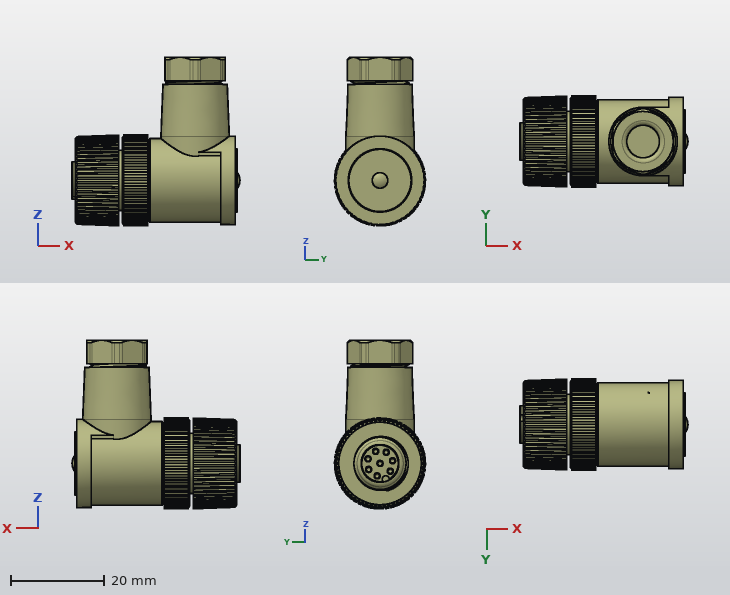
import cadquery as cq
import math


neck_diameter = 13.0
insert_diameter = 8.1
insert_edge_chamfer = 0.15
body_diameter = 18.0
body_start_x = 16.8
flange_diameter = 19.0
flange_start_x = 31.85
flange_end_x = 35.05
cap_radius = 6.8
cap_end_x = 35.43
cap_chamfer = 0.15
dome_radius = 1.65
part_length = 36.0
part_height = 36.2

nut_start_x = 0.7
nut_end_x = 10.05
nut_face_radius = 8.83
nut_bevel_length = 0.47
nut_front_radius = 9.4
nut_back_radius = 9.75
nut_groove_count = 60
nut_groove_radius = 0.3
bore_diameter = 11.2
bore_end_x = 8.4
collar_start_x = 6.88
collar_round_width = 0.9
bore_thread_pitch = 1.0
bore_thread_depth = 0.47
bore_thread_width = 0.95
bore_thread_turns = 7

ring_core_radius = 9.4
ring_radius = 19.5 / 2
ring_core_start_x = 10.8
ring_start_x = 11.07
ring_end_x = 16.3
ring_slot_count = 50
shoulder_radius = 8.7
shoulder_end_x = 16.45

contact_circle_radius = 2.75
contact_spacing = 49.0
outer_contact_count = 7
contact_diameter = 1.0
contact_mouth_diameter = 1.3
contact_depth = 4.35
drill_point_length = 0.3
key_angle = -70.0
key_radius = 0.75
key_centre_radius = 3.62
key_depth = 4.35

stem_x = 26.4
stem_base_diameter = 14.7
stem_top_radius = 6.9
stem_taper_start_z = flange_diameter / 2
stem_top_z = 20.55
pad_half_width = 7.3

clamp_bottom_z = 21.35
clamp_top_z = part_height - ring_radius
clamp_flats = 13.0
clamp_corner_diameter = 14.1
clamp_edge_rounding = 1.35
clamp_face_radius = 6.45
cable_hole_diameter = 7.0
cable_hole_depth = clamp_top_z - stem_top_z
cable_mouth_rounding = 1.05
clamp_thread_radius = 6.3
clamp_thread_depth = 1.05
clamp_thread_pitch = 1.45
clamp_thread_width = 1.23
clamp_thread_turns = 3
clamp_thread_offset = 0.1

thread_overlap = 0.05


def turned_about_x(profile):
    """Revolve an (x, radius) profile about the X axis."""
    return profile.close().revolve(360, (0, 0, 0), (1, 0, 0))


def disc(start_x, end_x, radius):
    return cq.Workplane("YZ").workplane(offset=start_x).circle(radius).extrude(end_x - start_x)


def copies_about_x(shape, count):
    """Evenly spaced copies of one cutter around the X axis, as a single compound."""
    turns = [shape.val().rotate((0, 0, 0), (1, 0, 0), i * 360 / count) for i in range(count)]
    return cq.Workplane(obj=cq.Compound.makeCompound(turns))


def thread_groove(mouth_radius, root_radius, mouth_width, pitch, turns):
    """Right-handed V groove around Z, starting at +X with its centre at z = 0."""
    helix = cq.Wire.makeHelix(pitch, pitch * turns, mouth_radius)
    section = (
        cq.Workplane("XZ")
        .moveTo(mouth_radius, -mouth_width / 2)
        .lineTo(root_radius, 0)
        .lineTo(mouth_radius, mouth_width / 2)
        .close()
    )
    return section.sweep(cq.Workplane(obj=helix), isFrenet=True)


def make_body():
    barrel = turned_about_x(
        cq.Workplane("XY")
        .moveTo(bore_end_x, 0)
        .lineTo(bore_end_x, neck_diameter / 2)
        .lineTo(ring_end_x, neck_diameter / 2)
        .lineTo(ring_end_x, shoulder_radius)
        .lineTo(shoulder_end_x, shoulder_radius)
        .lineTo(body_start_x, body_diameter / 2)
        .lineTo(flange_start_x, body_diameter / 2)
        .lineTo(flange_start_x, flange_diameter / 2)
        .lineTo(flange_end_x, flange_diameter / 2)
        .lineTo(flange_end_x, 0)
    )
    cap = disc(flange_end_x, cap_end_x, cap_radius).faces(">X").chamfer(cap_chamfer)
    dome_height = part_length - cap_end_x
    sphere_radius = (dome_radius**2 + dome_height**2) / (2 * dome_height)
    mid_angle = math.asin(dome_radius / sphere_radius) / 2
    dome = turned_about_x(
        cq.Workplane("XY")
        .moveTo(flange_end_x, 0)
        .lineTo(flange_end_x, dome_radius)
        .lineTo(cap_end_x, dome_radius)
        .threePointArc(
            (
                part_length - sphere_radius * (1 - math.cos(mid_angle)),
                sphere_radius * math.sin(mid_angle),
            ),
            (part_length, 0),
        )
    )
    return barrel.union(cap).union(dome)


def make_pad():
    """Raised strip that carries the flange surface forward to the stem."""
    length = flange_end_x - stem_x
    strip = cq.Workplane("XY").box(
        length, 2 * pad_half_width, flange_diameter / 2, centered=(False, True, False)
    )
    return strip.translate((stem_x, 0, 0)).intersect(disc(stem_x, flange_end_x, flange_diameter / 2))


def make_ring():
    core = disc(ring_core_start_x, ring_end_x, ring_core_radius).faces("<X")
    core = core.chamfer(ring_start_x - ring_core_start_x)
    teeth = disc(ring_start_x, ring_end_x, ring_radius)
    slot_angle = math.pi / ring_slot_count
    reach = 1.1 * ring_radius
    slot = (
        cq.Workplane("YZ")
        .workplane(offset=ring_start_x)
        .lineTo(-reach, 0)
        .lineTo(-reach * math.cos(slot_angle), reach * math.sin(slot_angle))
        .close()
        .extrude(ring_end_x - ring_start_x)
    )
    slot = slot.cut(disc(ring_start_x, ring_end_x, ring_core_radius))
    return core.union(teeth.cut(copies_about_x(slot, ring_slot_count)))


def make_coupling_nut():
    bevel_end_x = nut_start_x + nut_bevel_length
    nut = turned_about_x(
        cq.Workplane("XY")
        .moveTo(nut_start_x, 0)
        .lineTo(nut_start_x, nut_face_radius)
        .lineTo(bevel_end_x, nut_front_radius)
        .lineTo(nut_end_x, nut_back_radius)
        .lineTo(nut_end_x, 0)
    )
    nut = nut.cut(disc(nut_start_x, bore_end_x, bore_diameter / 2))
    thread = thread_groove(
        bore_diameter / 2 - thread_overlap,
        bore_diameter / 2 + bore_thread_depth,
        bore_thread_width,
        bore_thread_pitch,
        bore_thread_turns,
    )
    thread = thread.rotate((0, 0, 0), (0, 1, 0), 90).rotate((0, 0, 0), (1, 0, 0), -90)
    nut = nut.cut(thread.translate((nut_start_x - bore_thread_pitch, 0, 0)))
    slope = (nut_back_radius - nut_front_radius) / (nut_end_x - bevel_end_x)
    overrun = 1.1
    groove_start = cq.Vector(bevel_end_x - overrun, -(nut_front_radius - overrun * slope), 0)
    groove = cq.Workplane(
        obj=cq.Solid.makeCylinder(
            nut_groove_radius, nut_end_x - nut_start_x + 2 * overrun, groove_start, cq.Vector(1, -slope, 0)
        )
    )
    return nut.cut(copies_about_x(groove, nut_groove_count))


def make_insert():
    insert = disc(0, bore_end_x, insert_diameter / 2).faces("<X").chamfer(insert_edge_chamfer)
    inner = insert_diameter / 2
    outer = bore_diameter / 2
    round_radius = collar_round_width * math.sqrt(2)
    mid_angle = math.radians(45) / 2
    round_end_x = collar_start_x + round_radius - collar_round_width
    cone_end_x = round_end_x + outer - inner - collar_round_width
    collar = turned_about_x(
        cq.Workplane("XY")
        .moveTo(collar_start_x, 0)
        .lineTo(collar_start_x, inner)
        .threePointArc(
            (
                collar_start_x + round_radius * (1 - math.cos(mid_angle)),
                inner + round_radius * math.sin(mid_angle),
            ),
            (round_end_x, inner + collar_round_width),
        )
        .lineTo(cone_end_x, outer)
        .lineTo(bore_end_x, outer)
        .lineTo(bore_end_x, 0)
    )
    return insert.union(collar)


def cut_contacts(insert):
    hole = turned_about_x(
        cq.Workplane("XY")
        .lineTo(0, contact_mouth_diameter / 2)
        .lineTo((contact_mouth_diameter - contact_diameter) / 2, contact_diameter / 2)
        .lineTo(contact_depth, contact_diameter / 2)
        .lineTo(contact_depth + drill_point_length, 0)
    )
    insert = insert.cut(hole)
    for i in range(outer_contact_count):
        offset = (i - (outer_contact_count - 1) / 2) * contact_spacing
        angle = math.radians(key_angle + 180 + offset)
        y = -contact_circle_radius * math.cos(angle)
        z = contact_circle_radius * math.sin(angle)
        insert = insert.cut(hole.translate((0, y, z)))
    keyway = (
        cq.Workplane("YZ")
        .moveTo(-key_centre_radius - 2 * key_radius, key_radius)
        .lineTo(-key_centre_radius, key_radius)
        .threePointArc((key_radius - key_centre_radius, 0), (-key_centre_radius, -key_radius))
        .lineTo(-key_centre_radius - 2 * key_radius, -key_radius)
        .close()
        .extrude(key_depth)
    )
    return insert.cut(keyway.rotate((0, 0, 0), (1, 0, 0), -key_angle))


def make_stem():
    profile = (
        cq.Workplane("XZ")
        .lineTo(stem_base_diameter / 2, 0)
        .lineTo(stem_base_diameter / 2, stem_taper_start_z)
        .lineTo(stem_top_radius, stem_top_z)
        .lineTo(0, stem_top_z)
        .close()
    )
    return profile.revolve(360, (0, 0, 0), (0, 1, 0))


def make_threaded_neck():
    height = clamp_bottom_z - stem_top_z
    neck = cq.Workplane("XY").workplane(offset=stem_top_z).circle(clamp_thread_radius).extrude(height)
    groove = thread_groove(
        clamp_thread_radius + thread_overlap,
        clamp_thread_radius - clamp_thread_depth,
        clamp_thread_width,
        clamp_thread_pitch,
        clamp_thread_turns,
    )
    groove = groove.rotate((0, 0, 0), (0, 0, 1), -90)
    return neck.cut(groove.translate((0, 0, stem_top_z + clamp_thread_offset - clamp_thread_pitch)))


def make_clamp_nut():
    height = clamp_top_z - clamp_bottom_z
    hexagon = cq.Workplane("XY").polygon(6, clamp_flats, circumscribed=True).extrude(height)
    blank = cq.Workplane("XY").circle(clamp_corner_diameter / 2).extrude(height)
    nut = hexagon.intersect(blank).edges("|Z").fillet(clamp_edge_rounding)
    bevel = clamp_corner_diameter / 2 - clamp_face_radius
    turned = cq.Workplane("XY").circle(clamp_corner_diameter / 2).extrude(height).faces(">Z").chamfer(bevel)
    return nut.intersect(turned).translate((0, 0, clamp_bottom_z))


def cut_cable_hole(stem):
    hole = cq.Workplane("XY").workplane(offset=clamp_top_z).circle(cable_hole_diameter / 2)
    stem = stem.cut(hole.extrude(-cable_hole_depth))
    rim = cq.selectors.RadiusNthSelector(0)
    return stem.faces(">Z").edges(rim).fillet(cable_mouth_rounding)


stem = make_stem().union(make_threaded_neck()).union(make_clamp_nut())
stem = cut_cable_hole(stem).translate((stem_x, 0, 0))

insert = cut_contacts(make_insert())
socket = make_coupling_nut().union(insert)
result = make_body().union(make_pad()).union(stem).union(make_ring()).union(socket)